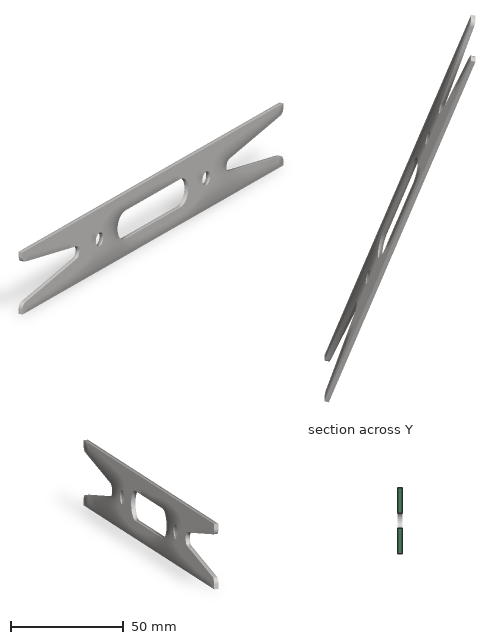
import cadquery as cq
import math

length = 220.0
height = 29.5
thickness = 2.0

notch_depth = 48.0
notch_root_radius = 3.0
notch_flank_angle = math.radians(8.7)
tip_radius = 2.9

slot_length = 59.6
slot_height = 13.5
hole_diameter = 6.4
hole_spacing = 90.0


def notch_cutter(side):
    """Notch with flanks tangent to its round root; side is +1 or -1 along Y."""
    mouth_y = length / 2
    root_y = mouth_y - notch_depth
    center_y = root_y + notch_root_radius
    tangent_y = center_y - notch_root_radius * math.sin(notch_flank_angle)
    tangent_z = notch_root_radius * math.cos(notch_flank_angle)
    mouth_z = tangent_z + (mouth_y - tangent_y) * math.tan(notch_flank_angle)
    return (
        cq.Workplane("YZ")
        .moveTo(side * mouth_y, mouth_z)
        .lineTo(side * tangent_y, tangent_z)
        .threePointArc((side * root_y, 0), (side * tangent_y, -tangent_z))
        .lineTo(side * mouth_y, -mouth_z)
        .close()
        .extrude(thickness / 2, both=True)
    )


plate = cq.Workplane("YZ").rect(length, height).extrude(thickness / 2, both=True)

for side in (-1, 1):
    plate = plate.cut(notch_cutter(side))

inner_tips = cq.selectors.BoxSelector(
    (-thickness, -length, -0.45 * height),
    (thickness, length, 0.45 * height),
)
end_faces = plate.faces("<Y or >Y")
plate = end_faces.edges("|X").edges(inner_tips).fillet(tip_radius)

slot = (
    cq.Workplane("YZ")
    .slot2D(slot_length, slot_height)
    .extrude(thickness / 2, both=True)
)
holes = (
    cq.Workplane("YZ")
    .pushPoints([(-hole_spacing / 2, 0), (hole_spacing / 2, 0)])
    .circle(hole_diameter / 2)
    .extrude(thickness / 2, both=True)
)

result = plate.cut(slot).cut(holes)